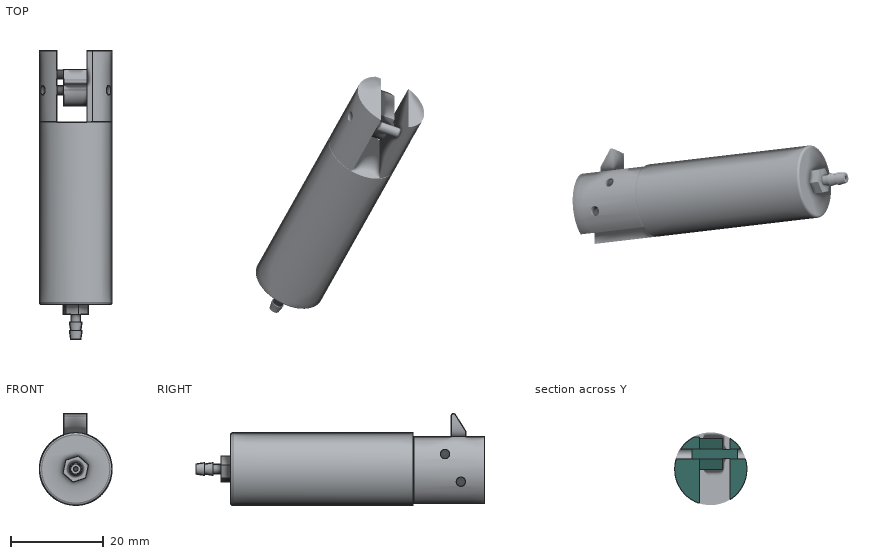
import cadquery as cq
import math

housing_diameter = 15.75
housing_length = 55.0
front_edge_fillet = 0.5
fork_depth = 15.5
groove_width = 0.2
groove_depth = 0.1
slot_left = -4.1
slot_right = 2.4
fork_flat_height = 7.0

lever_width = 5.0
lever_top = 12.0
lever_back = housing_length - 4.05
lever_front = housing_length - 7.25
lever_tip_radius = 0.5
lever_slope_angle = 58.0
lever_hub_radius = 3.4

pin_diameter = 2.0
pin_length = 10.0
hinge_y = housing_length - 8.58
hinge_z = 3.25
stop_y = housing_length - 5.15
stop_z = -2.75
pin_positions = [(hinge_y, hinge_z), (stop_y, stop_z)]

hex_across_flats = 5.0
hex_length = 2.1
hex_turn = 12.0
neck_radius = 1.05
neck_length = 1.65
barb_radius = 1.4
barb_tip_radius = 1.1
barb_length = 1.875
barb_count = 2
bore_diameter = 1.0


def rod_along_x(diameter, start_x, length, y, z):
    """Cylinder along +X whose axis passes through (y, z)."""
    return (
        cq.Workplane("YZ", origin=(start_x, y, z))
        .circle(diameter / 2)
        .extrude(length)
    )


def make_housing():
    """Round bar with a fork slot, a flat on the fork and a thin groove at the fork's root."""
    fork_root = housing_length - fork_depth
    radius = housing_diameter / 2
    bar = (
        cq.Workplane("XZ")
        .circle(radius)
        .extrude(-housing_length)
        .faces("<Y")
        .edges()
        .fillet(front_edge_fillet)
    )
    root_groove = (
        cq.Workplane("XZ", origin=(0, fork_root, 0))
        .circle(housing_diameter)
        .circle(radius - groove_depth)
        .extrude(-groove_width)
    )
    slot = cq.Workplane("XY", origin=(slot_left, fork_root, -radius)).box(
        slot_right - slot_left, fork_depth, housing_diameter, centered=False
    )
    above_flat = cq.Workplane("XY", origin=(-radius, fork_root, fork_flat_height)).box(
        housing_diameter, fork_depth, radius, centered=False
    )
    body = bar.cut(root_groove).cut(slot).cut(above_flat)
    for y, z in pin_positions:
        body = body.cut(rod_along_x(pin_diameter, -radius, housing_diameter, y, z))
    return body


def make_lever():
    """Hook with a sloped back and rounded tip, on a round hub about the hinge pin."""
    lever_left = slot_right - lever_width
    slope = math.radians(lever_slope_angle)
    apex_half_angle = (math.pi / 2 - slope) / 2
    apex_z = lever_top - lever_tip_radius + lever_tip_radius / math.tan(apex_half_angle)
    slope_base_z = apex_z - (lever_back - lever_front) * math.tan(slope)
    hub_top = hinge_z + lever_hub_radius
    hub_bottom = hinge_z - lever_hub_radius
    profile = (
        cq.Workplane("YZ", origin=(lever_left, 0, 0))
        .moveTo(lever_back, hub_bottom)
        .lineTo(lever_back, slope_base_z)
        .lineTo(lever_front, apex_z)
        .lineTo(lever_front, hub_top)
        .lineTo(hinge_y, hub_top)
        .threePointArc((hinge_y - lever_hub_radius, hinge_z), (hinge_y, hub_bottom))
        .close()
    )
    lever = profile.extrude(lever_width).edges("|X").edges(">Z").fillet(lever_tip_radius)
    hinge_hole = rod_along_x(pin_diameter, lever_left, lever_width, hinge_y, hinge_z)
    return lever.cut(hinge_hole)


def make_pin(y, z):
    """Cross pin centred in the slot, both ends sunk in the fork arms."""
    slot_middle = (slot_left + slot_right) / 2
    return rod_along_x(pin_diameter, slot_middle - pin_length / 2, pin_length, y, z)


def make_fitting():
    """Hexagon seated on the housing's front face, with a barbed stem and a through bore."""
    hexagon = (
        cq.Workplane("XZ")
        .polygon(6, hex_across_flats, circumscribed=True)
        .extrude(hex_length)
        .rotate((0, 0, 0), (0, 1, 0), hex_turn)
    )
    barb_start = hex_length + neck_length
    outline = (
        cq.Workplane("XY")
        .moveTo(0, 0)
        .lineTo(neck_radius, 0)
        .lineTo(neck_radius, -barb_start)
    )
    for index in range(barb_count):
        root = barb_start + index * barb_length
        outline = outline.lineTo(barb_radius, -root)
        outline = outline.lineTo(barb_tip_radius, -(root + barb_length))
    total_length = barb_start + barb_count * barb_length
    stem = outline.lineTo(0, -total_length).close().revolve(360, (0, 0, 0), (0, 1, 0))
    bore = cq.Workplane("XZ").circle(bore_diameter / 2).extrude(total_length)
    return hexagon.union(stem).cut(bore)


housing = make_housing()
lever = make_lever()
fitting = make_fitting()
pins = [make_pin(y, z).val() for y, z in pin_positions]

result = cq.Compound.makeCompound([housing.val(), lever.val(), fitting.val(), *pins])